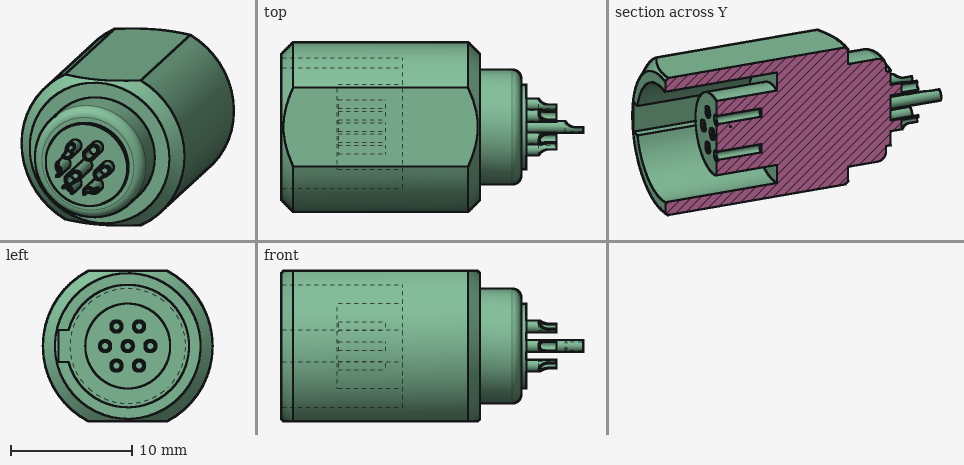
import cadquery as cq
import math

shell_diameter = 14.0
shell_length = 16.4
across_flats = 12.4
shell_chamfer = 1.0

boss_diameter = 9.5
boss_end = 19.8
boss_fillet = 0.8

bore_diameter = 10.1
bore_depth = 10.0
keyway_width = 2.65
keyway_reach = 5.7

insert_diameter = 7.0
insert_front = 4.6
insert_end = 20.2

contact_count = 6
contact_circle_radius = 1.86
contact_hole_diameter = 0.7
contact_hole_depth = 4.0
contact_hole_chamfer = 0.15

cup_diameter = 1.0
cup_hole_diameter = 0.7
cup_opening_length = 1.5
cup_ramp_radius = 0.9
outer_cup_end = 22.7
center_cup_end = 24.9


def rod(diameter, start, end):
    """Solid cylinder on the X axis between two X positions."""
    return cq.Workplane("YZ", origin=(start, 0, 0)).circle(diameter / 2).extrude(end - start)


def make_shell():
    body = rod(shell_diameter, 0, shell_length).edges().chamfer(shell_chamfer)
    flats = cq.Workplane("XY").box(shell_length, shell_diameter, across_flats)
    return body.intersect(flats.translate((shell_length / 2, 0, 0)))


def make_boss():
    return rod(boss_diameter, bore_depth, boss_end).faces(">X").edges().fillet(boss_fillet)


def make_socket_opening():
    keyway = cq.Workplane("XY").box(
        bore_depth, keyway_reach, keyway_width, centered=(False, False, True)
    )
    return rod(bore_diameter, 0, bore_depth).union(keyway)


def make_contact_hole():
    """Countersunk hole entering the front face of the insert."""
    hole = rod(contact_hole_diameter, insert_front, insert_front + contact_hole_depth)
    mouth_radius = contact_hole_diameter / 2 + contact_hole_chamfer
    mouth = cq.Solid.makeCone(
        mouth_radius,
        contact_hole_diameter / 2,
        contact_hole_chamfer,
        pnt=cq.Vector(insert_front, 0, 0),
        dir=cq.Vector(1, 0, 0),
    )
    return hole.union(cq.Workplane(mouth))


def make_solder_cup(end):
    """Hollow-ended rod, cut open to its middle plane on the +Y side behind a curved ramp."""
    cup_radius = cup_diameter / 2
    opening_start = end - cup_opening_length
    ramp_length = math.sqrt(cup_ramp_radius**2 - (cup_ramp_radius - cup_radius) ** 2)
    half_angle = math.asin(ramp_length / cup_ramp_radius) / 2
    ramp_end = opening_start + ramp_length
    ramp_middle = (
        ramp_end - cup_ramp_radius * math.sin(half_angle),
        cup_ramp_radius * (1 - math.cos(half_angle)),
    )
    opening = (
        cq.Workplane("XY")
        .moveTo(opening_start, cup_radius)
        .threePointArc(ramp_middle, (ramp_end, 0))
        .lineTo(end, 0)
        .lineTo(end, cup_radius)
        .close()
        .extrude(cup_radius, both=True)
    )
    cup_hole = rod(cup_hole_diameter, opening_start, end)
    return rod(cup_diameter, boss_end, end).cut(cup_hole).cut(opening)


def place_on_circle(shape, index):
    """Move a shape outward along +Y, then turn it to its place around the X axis."""
    angle = index * 360 / contact_count
    return shape.translate((0, contact_circle_radius, 0)).rotate((0, 0, 0), (1, 0, 0), angle)


result = make_shell().union(make_boss()).cut(make_socket_opening())
result = result.union(rod(insert_diameter, insert_front, insert_end))

contact_hole = make_contact_hole()
outer_cup = make_solder_cup(outer_cup_end)
result = result.cut(contact_hole).union(make_solder_cup(center_cup_end))
for i in range(contact_count):
    result = result.cut(place_on_circle(contact_hole, i))
    result = result.union(place_on_circle(outer_cup, i))